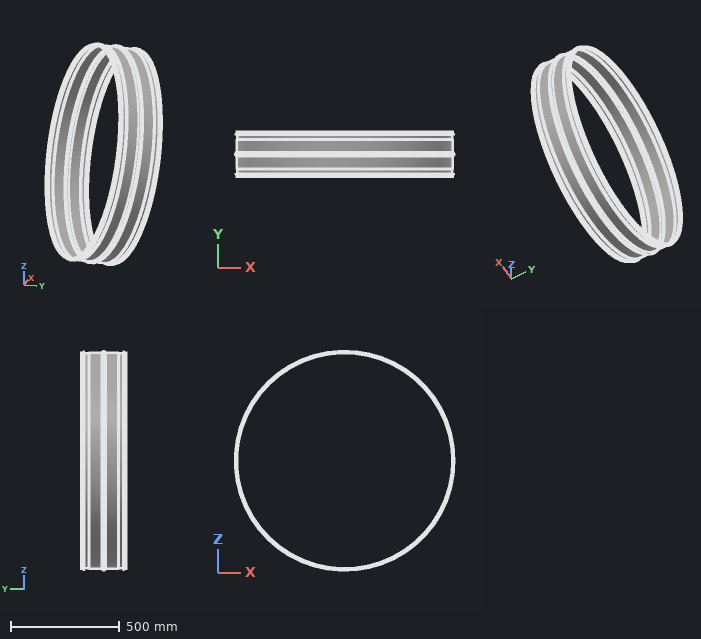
import cadquery as cq


HALF_WIDTH = 209.0 / 2
SHEET = 0.5
BEAD_RADIUS = 506.0
BODY_RADIUS = 998.0 / 2
SEAT_RADIUS = 993.0 / 2
SEAT_INNER_RADIUS = SEAT_RADIUS - SHEET
BEAD_HALF_WIDTH = 11.0
CREST_HALF_WIDTH = 1.0
BODY_HALF_WIDTH = 65.0
SEAT_START = 71.0

HEM_WIDTH = 8.0
HEM_EDGE = HALF_WIDTH - HEM_WIDTH
HEM_INNER_RADIUS = BODY_RADIUS - SHEET
FOLD_RADIUS = (BODY_RADIUS - SEAT_INNER_RADIUS) / 2
FOLD_START = HALF_WIDTH - FOLD_RADIUS
FOLD_MIDDLE_RADIUS = SEAT_INNER_RADIUS + FOLD_RADIUS
FOLD_OUTER_TOP = (FOLD_MIDDLE_RADIUS, HALF_WIDTH)
FOLD_INNER_TOP = (FOLD_MIDDLE_RADIUS, HALF_WIDTH - SHEET)

BAND_RADIUS = 995.0 / 2
LOW_LIP_RADIUS = 1005.0 / 2
HIGH_LIP_RADIUS = 1009.0 / 2
LIP_TIP = 0.5
LIP_ROOT = 1.5
LIP_LEAN = 2.5
LIP_PITCH = 3.0
SEAL_WIDTH = 15.0
SEAL_INNER_END = HALF_WIDTH - SEAL_WIDTH


def revolved(outline):
    """Revolve a closed outline about the Y axis."""
    return outline.revolve(360, (0, 0, 0), (0, 1, 0))


def flipped(points):
    """Mirror points in the mid plane and reverse their order."""
    return [(radius, -place) for radius, place in reversed(points)]


def make_wall():
    """Beaded wall of the sleeve, up to where the folds start."""
    half_outside = [
        (BEAD_RADIUS, CREST_HALF_WIDTH),
        (BODY_RADIUS, BEAD_HALF_WIDTH),
        (BODY_RADIUS, BODY_HALF_WIDTH),
        (SEAT_RADIUS, SEAT_START),
        (SEAT_RADIUS, FOLD_START),
    ]
    outside = flipped(half_outside) + half_outside
    inside = [(radius - SHEET, place) for radius, place in reversed(outside)]
    return revolved(cq.Workplane("XY").polyline(outside + inside).close())


def make_hem():
    """Fold and turned-back edge at the +Y end of the sleeve."""
    outline = (
        cq.Workplane("XY")
        .moveTo(SEAT_RADIUS, FOLD_START)
        .threePointArc(FOLD_INNER_TOP, (HEM_INNER_RADIUS, FOLD_START))
        .lineTo(HEM_INNER_RADIUS, HEM_EDGE)
        .lineTo(BODY_RADIUS, HEM_EDGE)
        .lineTo(BODY_RADIUS, FOLD_START)
        .threePointArc(FOLD_OUTER_TOP, (SEAT_INNER_RADIUS, FOLD_START))
    )
    return revolved(outline.close())


def make_sleeve():
    hem = make_hem()
    return make_wall().union(hem).union(hem.mirror("XZ")).solids()


def lip(tip_radius, root_place):
    """Lip that starts on the band at root_place and leans toward the mid plane."""
    tip_place = root_place - LIP_LEAN
    return [
        (BAND_RADIUS, root_place),
        (tip_radius, tip_place),
        (tip_radius, tip_place - LIP_TIP),
        (BAND_RADIUS, root_place - LIP_ROOT),
    ]


def make_seal():
    """Ring seal at the +Y end."""
    sides = [
        (HEM_INNER_RADIUS, FOLD_START),
        (HEM_INNER_RADIUS, HEM_EDGE),
        *lip(LOW_LIP_RADIUS, HEM_EDGE),
        *lip(HIGH_LIP_RADIUS, HEM_EDGE - LIP_PITCH),
        (BAND_RADIUS, SEAL_INNER_END),
        (SEAT_RADIUS, SEAL_INNER_END),
        (SEAT_RADIUS, FOLD_START),
    ]
    outline = cq.Workplane("XY").polyline(sides).threePointArc(FOLD_INNER_TOP, sides[0])
    return revolved(outline.close())


sleeve = make_sleeve()
seal = make_seal()
seals = [seal, seal.mirror("XZ")]

result = cq.Compound.makeCompound([sleeve.val(), *[each.val() for each in seals]])